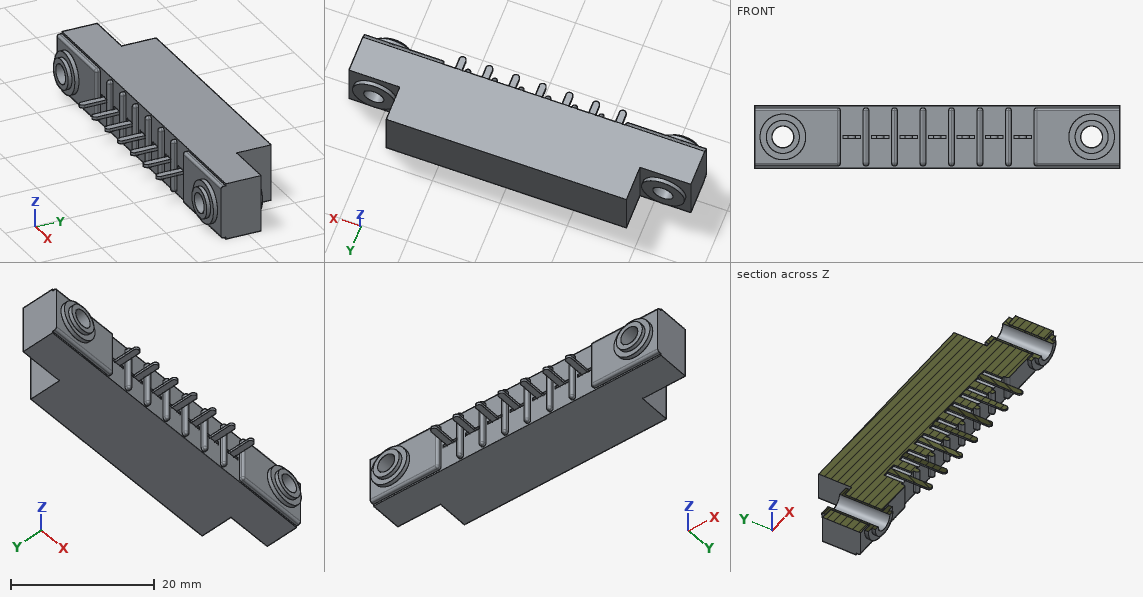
import cadquery as cq

HOUSING_LENGTH = 50.75
HOUSING_HEIGHT = 8.71
CENTER_LENGTH = 35.65
HOUSING_DEPTH = 10.86
EAR_SETBACK = 5.37
FRONT_Y = -HOUSING_DEPTH

CONTACT_COUNT = 7
PITCH = 3.96
CONTACT_WIDTH = 1.0
CONTACT_THICKNESS = 0.46
TIP_Y = -14.88
SLOT_WIDTH = 2.5
SLOT_DEPTH = 3.0

RIB_WIDTH = 0.8
RAISED_THICKNESS = 0.75
RAISED_HEIGHT = 8.1
CORNER_RADIUS = 0.39
CREST_RADIUS = 0.385
PAD_INNER_X = CONTACT_COUNT * PITCH / 2 - RIB_WIDTH / 2
PAD_Y = FRONT_Y - RAISED_THICKNESS

BUSHING_SPACING = 42.9
FLANGE_DIAMETER = 6.35
REAR_FLANGE_THICKNESS = 0.6
FRONT_FLANGE_THICKNESS = 0.64
FLANGE_GAP = 0.16
SHANK_DIAMETER = 3.6
COLLAR_DIAMETER = 4.6
COLLAR_THICKNESS = 0.6
BORE_DIAMETER = 3.0

bushing_positions = [side * BUSHING_SPACING / 2 for side in (-1, 1)]
contact_positions = [(i - (CONTACT_COUNT - 1) / 2) * PITCH for i in range(CONTACT_COUNT)]
rib_positions = [x + PITCH / 2 for x in contact_positions[:-1]]


def block(x_min, x_max, y_min, y_max, height):
    """Box between the given X and Y limits, centred on Z = 0."""
    return (
        cq.Workplane("XY")
        .box(x_max - x_min, y_max - y_min, height, centered=(False, False, True))
        .translate((x_min, y_min, 0))
    )


def cylinder(x, y_min, y_max, diameter):
    """Cylinder along Y between two Y limits."""
    return (
        cq.Workplane("XZ", origin=(x, y_max, 0))
        .circle(diameter / 2)
        .extrude(y_max - y_min)
    )


def make_rib(x):
    """Rib with rounded ends and a rounded crest."""
    rib = block(x - RIB_WIDTH / 2, x + RIB_WIDTH / 2, PAD_Y, FRONT_Y, RAISED_HEIGHT)
    rib = rib.edges("|Y").fillet(CORNER_RADIUS)
    return rib.faces("<Y").edges().fillet(CREST_RADIUS)


def make_pad(side):
    """Pad over one ear, rounded except where it is flush with the housing end."""
    half_length = HOUSING_LENGTH / 2
    pad = block(-half_length, -PAD_INNER_X, PAD_Y, FRONT_Y, RAISED_HEIGHT)
    pad = pad.edges("|Y and >X").fillet(CORNER_RADIUS)
    pad = pad.faces("<Y").edges("not <X").fillet(CREST_RADIUS)
    return pad if side < 0 else pad.mirror("YZ")


def make_housing():
    """Stepped block with pads, ribs, contact slots and bushing holes."""
    body = block(-CENTER_LENGTH / 2, CENTER_LENGTH / 2, FRONT_Y, 0, HOUSING_HEIGHT)
    body = body.union(
        block(-HOUSING_LENGTH / 2, HOUSING_LENGTH / 2, FRONT_Y, -EAR_SETBACK, HOUSING_HEIGHT)
    )
    for side in (-1, 1):
        body = body.union(make_pad(side))
    for x in rib_positions:
        body = body.union(make_rib(x))
    for x in contact_positions:
        half_slot = SLOT_WIDTH / 2
        slot_floor = FRONT_Y + SLOT_DEPTH
        body = body.cut(block(x - half_slot, x + half_slot, FRONT_Y, slot_floor, CONTACT_THICKNESS))
    for x in bushing_positions:
        body = body.cut(cylinder(x, PAD_Y, -EAR_SETBACK, SHANK_DIAMETER))
    return body


def make_contact(x):
    """Flat tail with a full-round tip, seated on the floor of its slot."""
    half_width = CONTACT_WIDTH / 2
    return (
        cq.Workplane("XY", origin=(x, 0, -CONTACT_THICKNESS / 2))
        .moveTo(-half_width, FRONT_Y + SLOT_DEPTH)
        .lineTo(-half_width, TIP_Y + half_width)
        .threePointArc((0, TIP_Y), (half_width, TIP_Y + half_width))
        .lineTo(half_width, FRONT_Y + SLOT_DEPTH)
        .close()
        .extrude(CONTACT_THICKNESS)
    )


def make_bushing(x):
    """Bored shank through an ear, with a rear flange, a front flange just clear of the pad, and a collar."""
    rear_y = -EAR_SETBACK + REAR_FLANGE_THICKNESS
    flange_back_y = PAD_Y - FLANGE_GAP
    flange_front_y = flange_back_y - FRONT_FLANGE_THICKNESS
    collar_front_y = flange_front_y - COLLAR_THICKNESS
    shank = cylinder(x, flange_back_y, -EAR_SETBACK, SHANK_DIAMETER)
    rear_flange = cylinder(x, -EAR_SETBACK, rear_y, FLANGE_DIAMETER)
    front_flange = cylinder(x, flange_front_y, flange_back_y, FLANGE_DIAMETER)
    collar = cylinder(x, collar_front_y, flange_front_y, COLLAR_DIAMETER)
    bore = cylinder(x, collar_front_y, rear_y, BORE_DIAMETER)
    return shank.union(rear_flange).union(front_flange).union(collar).cut(bore)


housing = make_housing()
contacts = [make_contact(x) for x in contact_positions]
bushings = [make_bushing(x) for x in bushing_positions]

result = cq.Compound.makeCompound(
    [housing.val()]
    + [contact.val() for contact in contacts]
    + [bushing.val() for bushing in bushings]
)